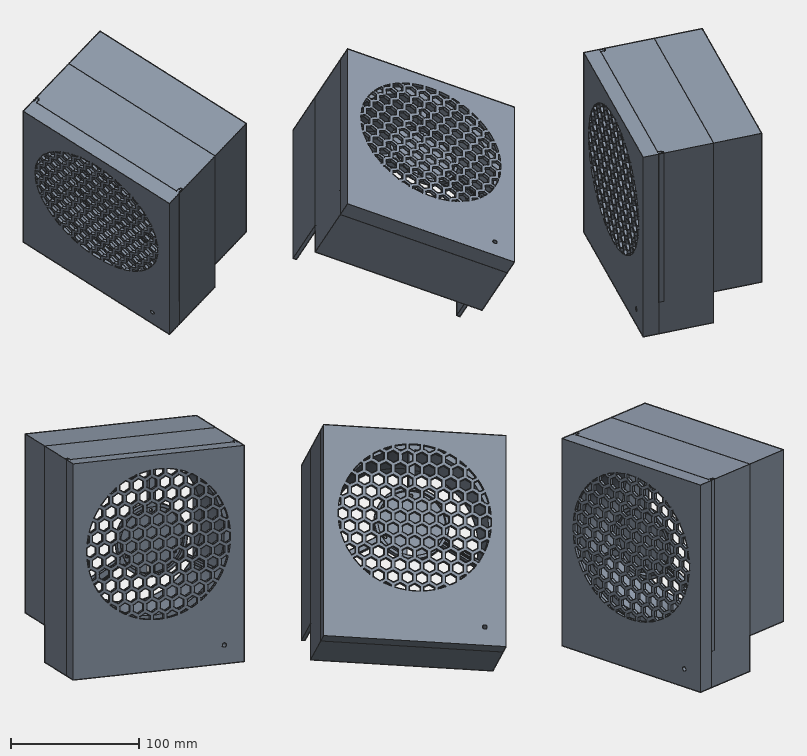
import cadquery as cq
import math

WIDTH = 144.5
HEIGHT = 174.5
COVER_DEPTH = 13.0
HOUSING_DEPTH = 45.0
FRAME_DEPTH = 39.6

COVER_BACK = COVER_DEPTH
HOUSING_BACK = COVER_BACK + HOUSING_DEPTH
AXIS_Z = HEIGHT - WIDTH / 2
UPPER_BOTTOM_Z = HEIGHT - WIDTH

DUCT_DIAMETER = 121.3
CAVITY_DIAMETER = 135.5
GRILLE_THICKNESS = 2.5
HEX_CORNERS = 10.0
HEX_PAIR_PITCH = 22.9
HEX_PITCH = HEX_PAIR_PITCH / 2
HEX_ROW_PITCH = HEX_PITCH * math.sin(math.radians(60))

CABLE_HOLE_DIAMETER = 3.5
CABLE_HOLE_X = 55.3
CABLE_HOLE_Z = 15.2

HUB_DIAMETER = 59.0
HUB_POCKET_DIAMETER = 54.0
HUB_FRONT = COVER_BACK
HUB_POCKET_DEPTH = 3.0
HUB_DEPTH = 4.9
HUB_FLOOR_FRONT = HUB_FRONT + HUB_POCKET_DEPTH
HUB_BACK = HUB_FRONT + HUB_DEPTH
SCREW_HOLE_DIAMETER = 2.5
SCREW_CIRCLE_RADIUS = 23.5
NOTCH_WIDTH = 6.5
NOTCH_TOP = 18.8

SPOKE_ANGLES = (90, 210, 330)
WIRED_SPOKE_ANGLE = 330
SPOKE_WIDTH = 5.0
SPOKE_END_OVERLAP = 0.9
SPOKE_FRONT = HUB_FRONT
SPOKE_BACK = HUB_BACK
WIRE_CHANNEL_WIDTH = 2.0
WIRE_CHANNEL_DEPTH = 2.5

RAIL_SKIN = 0.9
RAIL_WIDTH = 2.3
RAIL_DEPTH = 3.0
LIP_WIDTH = 1.5
LIP_DEPTH = 1.4
RAIL_LENGTH = WIDTH

FRAME_WALL = 3.0


def box(x_min, x_max, y_min, y_max, z_min, z_max):
    """Box given by its limits along each axis."""
    size = (x_max - x_min, y_max - y_min, z_max - z_min)
    return cq.Workplane("XY").box(*size, centered=False).translate((x_min, y_min, z_min))


def fan_plane(y):
    """Sketch plane on the fan axis, facing the back: local x points up, local y along +X."""
    return cq.Workplane(cq.Plane((0, y, AXIS_Z), xDir=(0, 0, 1), normal=(0, 1, 0)))


def disc(diameter, y_min, y_max):
    """Cylinder on the fan axis."""
    return fan_plane(y_min).circle(diameter / 2).extrude(y_max - y_min)


def cable_hole(y_min, y_max):
    """Cylinder that cuts the cable hole."""
    hole = disc(CABLE_HOLE_DIAMETER, y_min, y_max)
    return hole.translate((CABLE_HOLE_X, 0, CABLE_HOLE_Z - AXIS_Z))


def rails():
    """Both stepped rails, running down from the top."""
    outer = -WIDTH / 2 + RAIL_SKIN
    z_min = HEIGHT - RAIL_LENGTH
    rail_back = COVER_BACK + RAIL_DEPTH
    rail = box(outer, outer + RAIL_WIDTH, COVER_BACK, rail_back, z_min, HEIGHT)
    lip = box(outer, outer + LIP_WIDTH, rail_back, rail_back + LIP_DEPTH, z_min, HEIGHT)
    left = rail.union(lip)
    return left, left.mirror("YZ")


def grille_openings():
    """Honeycomb of hexagonal prisms with corners up and down, clipped to the duct circle."""
    radius = DUCT_DIAMETER / 2
    reach = math.ceil(radius / HEX_ROW_PITCH)
    centres = []
    for row in range(-reach, reach + 1):
        row_shift = HEX_PITCH / 2 * (row % 2)
        for column in range(-reach, reach + 1):
            up = row * HEX_ROW_PITCH
            across = column * HEX_PITCH + row_shift
            if math.hypot(up, across) < radius + HEX_CORNERS / 2:
                centres.append((up, across))
    prisms = fan_plane(0).pushPoints(centres).polygon(6, HEX_CORNERS).extrude(GRILLE_THICKNESS)
    return prisms.intersect(disc(DUCT_DIAMETER, 0, GRILLE_THICKNESS))


def make_cover():
    """Front cover with the grille and the rails that slide into the housing."""
    cover = box(-WIDTH / 2, WIDTH / 2, 0, COVER_BACK, 0, HEIGHT)
    cover = cover.cut(disc(CAVITY_DIAMETER, GRILLE_THICKNESS, COVER_BACK))
    cover = cover.cut(grille_openings())
    cover = cover.cut(cable_hole(0, COVER_BACK))
    for rail in rails():
        cover = cover.union(rail)
    return cover


def make_spoke(angle):
    """Radial bar from the hub to the duct wall, centred on the given angle."""
    length = DUCT_DIAMETER / 2 + SPOKE_END_OVERLAP
    spoke = box(0, length, SPOKE_FRONT, SPOKE_BACK, -SPOKE_WIDTH / 2, SPOKE_WIDTH / 2)
    if angle == WIRED_SPOKE_ANGLE:
        half = WIRE_CHANNEL_WIDTH / 2
        channel_back = SPOKE_FRONT + WIRE_CHANNEL_DEPTH
        spoke = spoke.cut(box(0, DUCT_DIAMETER / 2, SPOKE_FRONT, channel_back, -half, half))
    return spoke.rotate((0, 0, 0), (0, 1, 0), -angle).translate((0, 0, AXIS_Z))


def hub_floor_openings():
    """Screw holes in line with the spokes, and the cable notch at the bottom of the hub."""
    screw_points = []
    for angle in SPOKE_ANGLES:
        turn = math.radians(angle)
        screw_points.append((SCREW_CIRCLE_RADIUS * math.sin(turn), SCREW_CIRCLE_RADIUS * math.cos(turn)))
    holes = fan_plane(HUB_FLOOR_FRONT).pushPoints(screw_points).circle(SCREW_HOLE_DIAMETER / 2)
    holes = holes.extrude(HUB_BACK - HUB_FLOOR_FRONT)

    half = NOTCH_WIDTH / 2
    bottom = AXIS_Z - HUB_POCKET_DIAMETER / 2
    notch = box(-half, half, HUB_FLOOR_FRONT, HUB_BACK, bottom, AXIS_Z - NOTCH_TOP)
    notch = notch.intersect(disc(HUB_POCKET_DIAMETER, HUB_FLOOR_FRONT, HUB_BACK))
    return holes.union(notch)


def make_housing():
    """Block with the fan duct, the motor hub on its spokes and the slots for the rails."""
    housing = box(-WIDTH / 2, WIDTH / 2, COVER_BACK, HOUSING_BACK, 0, HEIGHT)
    housing = housing.cut(disc(DUCT_DIAMETER, COVER_BACK, HOUSING_BACK))
    for angle in SPOKE_ANGLES:
        housing = housing.union(make_spoke(angle))
    housing = housing.union(disc(HUB_DIAMETER, HUB_FRONT, HUB_BACK))
    housing = housing.cut(disc(HUB_POCKET_DIAMETER, HUB_FRONT, HUB_FLOOR_FRONT))
    housing = housing.cut(hub_floor_openings())
    housing = housing.cut(cable_hole(COVER_BACK, HOUSING_BACK))
    for rail in rails():
        housing = housing.cut(rail)
    return housing


def make_frame():
    """Top wall and two side walls behind the housing."""
    frame_back = HOUSING_BACK + FRAME_DEPTH
    inner = WIDTH / 2 - FRAME_WALL
    frame = box(-WIDTH / 2, WIDTH / 2, HOUSING_BACK, frame_back, UPPER_BOTTOM_Z, HEIGHT)
    opening = box(-inner, inner, HOUSING_BACK, frame_back, UPPER_BOTTOM_Z, HEIGHT - FRAME_WALL)
    return frame.cut(opening)


cover = make_cover()
housing = make_housing()
frame = make_frame()
result = cq.Compound.makeCompound([cover.val(), housing.val(), frame.val()])